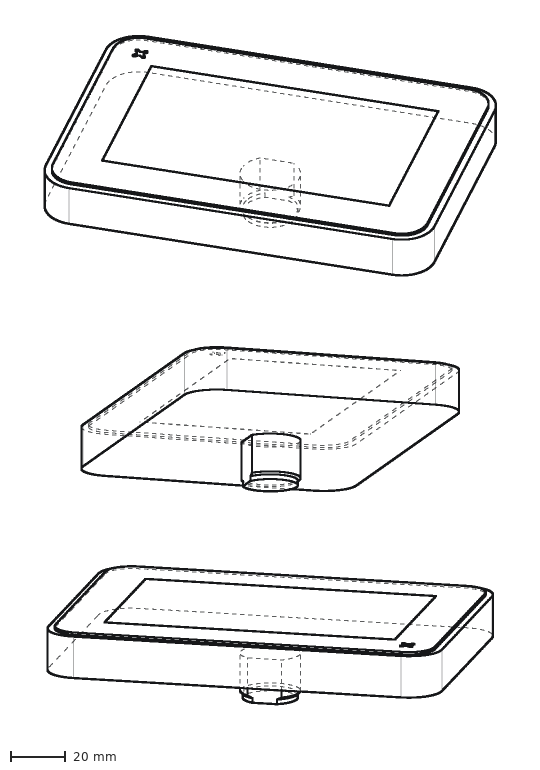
import cadquery as cq

length = 148.0
width = 105.0
total_height = 33.5
corner_radius = 12.5
housing_height = 15.7

cover_inset = 2.7
cover_height = 0.9

window_length = 109.2
window_width = 65.4
window_depth = 0.07

mark_x = -60.8
mark_y = 39.5
mark_arm_length = 6.0
mark_arm_width = 1.2
mark_depth = 0.07
mark_inner_fillet = 0.9

stem_diameter = 22.2
flat_distance = 9.0
rim_height = 2.7
rim_diameter = 20.3
shoulder_height = 0.9

cover_top = housing_height + cover_height
stem_length = total_height - cover_top
collar_length = stem_length - rim_height


def rounded_plate(inset, base_z, height):
    """Plate with rounded corners, set in evenly from the housing outline."""
    return (
        cq.Workplane("XY")
        .workplane(offset=base_z)
        .rect(length - 2 * inset, width - 2 * inset)
        .extrude(height)
        .edges("|Z")
        .fillet(corner_radius - inset)
    )


def make_stem():
    """Stem turned about the Z axis, then cut by one flat on the +Y side."""
    turned = (
        cq.Workplane("XZ")
        .moveTo(0, 0)
        .lineTo(stem_diameter / 2, 0)
        .lineTo(stem_diameter / 2, -collar_length)
        .lineTo(rim_diameter / 2, -collar_length - shoulder_height)
        .lineTo(rim_diameter / 2, -stem_length)
        .lineTo(0, -stem_length)
        .close()
        .revolve(360, (0, 0, 0), (0, 1, 0))
    )
    beyond_flat = (
        cq.Workplane("XY")
        .box(stem_diameter, stem_diameter, stem_length, centered=(True, False, False))
        .translate((0, flat_distance, -stem_length))
    )
    return turned.cut(beyond_flat)


def make_window():
    """Cutter for the display recess, centred on the cover."""
    return (
        cq.Workplane("XY")
        .workplane(offset=cover_top)
        .rect(window_length, window_width)
        .extrude(-window_depth)
    )


def make_mark():
    """Two crossed bars at 45 degrees to the housing, rounded where they meet."""
    plane = cq.Workplane("XY").workplane(offset=cover_top).center(mark_x, mark_y)
    rising = plane.slot2D(mark_arm_length, mark_arm_width, 45).extrude(-mark_depth)
    falling = plane.slot2D(mark_arm_length, mark_arm_width, -45).extrude(-mark_depth)
    inner_corners = cq.selectors.BoxSelector(
        (mark_x - mark_arm_width, mark_y - mark_arm_width, 0),
        (mark_x + mark_arm_width, mark_y + mark_arm_width, cover_top),
    )
    return rising.union(falling).edges("|Z").edges(inner_corners).fillet(mark_inner_fillet)


housing = rounded_plate(0, 0, housing_height)
cover = rounded_plate(cover_inset, housing_height, cover_height)

result = housing.union(cover).union(make_stem()).cut(make_window()).cut(make_mark())